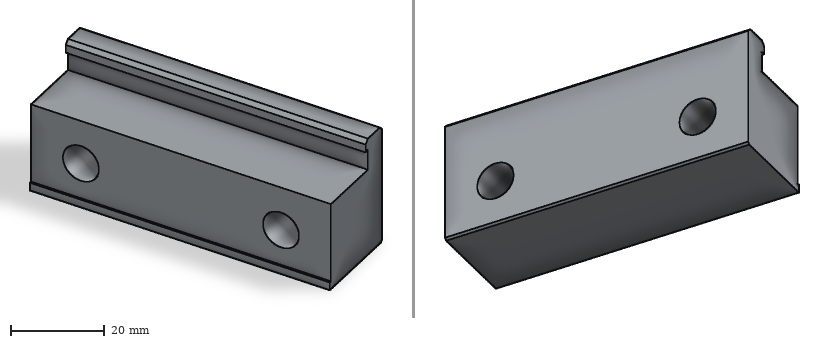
import cadquery as cq

length = 75.0
depth = 22.0
height = 30.0

wall_thickness = 6.0
lip_overhang = 1.0
lip_height = 3.0
top_chamfer = 1.0

shelf_drop = 8.0
toe_projection = 0.5
toe_height = 2.0
heel_chamfer = 0.5

hole_diameter = 9.0
hole_spacing = 50.0
hole_height = 11.0

front_y = -depth / 2
back_y = depth / 2
block_front_y = front_y + toe_projection
wall_front_y = back_y - wall_thickness
lip_front_y = wall_front_y - lip_overhang
shelf_z = height - shelf_drop
lip_bottom_z = height - lip_height

profile = [
    (front_y, 0),
    (front_y, toe_height),
    (block_front_y, toe_height),
    (block_front_y, shelf_z),
    (wall_front_y, shelf_z),
    (wall_front_y, lip_bottom_z),
    (lip_front_y, lip_bottom_z),
    (lip_front_y, height - top_chamfer),
    (lip_front_y + top_chamfer, height),
    (back_y - top_chamfer, height),
    (back_y, height - top_chamfer),
    (back_y, heel_chamfer),
    (back_y - heel_chamfer, 0),
]
body = cq.Workplane("YZ").polyline(profile).close().extrude(length / 2, both=True)

holes = (
    cq.Workplane("XZ")
    .pushPoints([(side * hole_spacing / 2, hole_height) for side in (-1, 1)])
    .circle(hole_diameter / 2)
    .extrude(depth, both=True)
)

result = body.cut(holes)